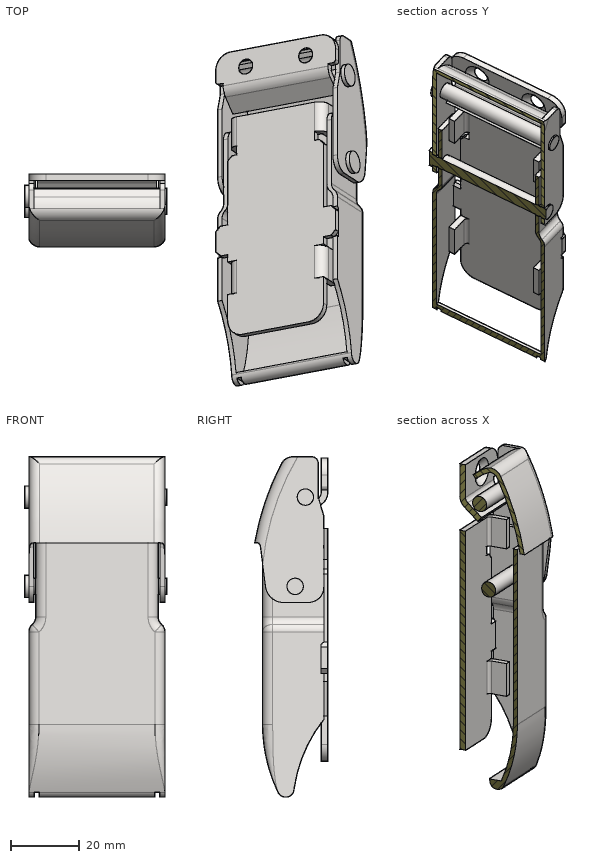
import cadquery as cq
import math


WIDTH = 40.0
HALF_WIDTH = WIDTH / 2
HEIGHT = 100.0
WALL = 1.5
PLATE = 2.0
PLATE_CORNER = 5.0
SIDE_DEPTH = 1.2
REACH = 60.0
MARGIN = 1.0
ARC_GAP = 1 - math.sqrt(0.5)

SHANK_DIAMETER = 4.8
HEAD_DIAMETER = 6.6
HEAD_HEIGHT = 1.2
TAIL_HEIGHT = 0.5
UPPER_RIVET = (6.6, 88.1)
LOWER_RIVET = (9.6, 61.9)

LEVER_FRONT = 19.2
LEVER_TOP = 76.0
LEVER_TOP_CORNER = 3.0
LEVER_NARROW = 18.0
LEVER_ROUND = 3.0
SHOULDER_BOTTOM = 48.5
CURVE_TOP = 21.4
CURVE_RADIUS = 46.0
TIP_RADIUS = 2.5
BACK_CORNER = 22.8
BACK_ARC_MID = (6.9, 13.2)
TIP_FLOOR = 3.0
TIP_SLOT_WIDTH = 1.4
TIP_SLOT_HEIGHT = 1.4
ROUND_END = 2.0
ROUND_END_RADIUS = 0.1
ROUND_SECTIONS = 7

HOOD_ARC_RADIUS = 80.5
HOOD_ARC_CENTRE = (-57.8, 60.8)
HOOD_ROUND = 3.2
HOOD_LIP = 74.7
HOOD_BOTTOM = 57.2
HOOD_BACK_CORNER = 4.4
HOOD_FRONT_CORNER = (18.3, 61.8)
HOOD_FRONT_CORNER_SIZE = 4.6
HOOD_WALL_FRONT = 19.8
LIP_ROUND = 1.2
HOOD_UPPER_BACK = 2.8
HOOD_TOP_CORNER = 2.0
HOOD_STEP_TOP = 88.0
HOOD_STEP_BOTTOM = 82.7
ROOF_ROUND = 4.0
ROOF_BEND = (6.8, 98.6)
ROOF_END = 4.4
ROOF_SLOPE = math.radians(36)

STRIKE_TOP = 99.6
STRIKE_SHOULDER = 90.2
STRIKE_SHOULDER_ROUND = 0.9
STRIKE_NARROW = 17.5
STRIKE_BEND_TOP = 89.4
STRIKE_BEND_RADIUS = 4.0
STRIKE_BEND_ANGLE = math.radians(50)
STRIKE_TAIL = 6.0
STRIKE_HOLE_SPACING = 20.0
STRIKE_HOLE_HEIGHT = 94.1
STRIKE_HOLE_DIAMETER = 4.6
SINK_DIAMETER = 8.4
SINK_ANGLE = 90.0

BASE_BOTTOM = 10.5
BASE_TOP = 78.9
BASE_HALF_WIDTH = 16.0
TAB_BOTTOM = 36.3
TAB_TOP = 45.6
TAB_CHAMFER = 1.5
TAB_SLANT = PLATE - SIDE_DEPTH
FLANGE_HEIGHTS = [(23.8, 34.0), (69.8, BASE_TOP)]
FLANGE_DEPTH = 8.0
FLANGE_BEND = 3.0
RELIEF_HEIGHT = 2.8
RELIEF_CHAMFER = 1.5


def side_plane():
    """Sketch plane whose axes are depth (toward -Y) and height (Z)."""
    return cq.Workplane(cq.Plane(origin=(0, 0, 0), xDir=(0, -1, 0), normal=(-1, 0, 0)))


def across(sketch, half_width):
    """Extrude a side sketch equally to both sides of the middle plane."""
    return sketch.extrude(half_width, both=True)


def box(x_range, depth_range, z_range):
    size = [end - start for start, end in (x_range, depth_range, z_range)]
    corner = (x_range[0], -depth_range[1], z_range[0])
    return cq.Workplane("XY").box(*size, centered=False).translate(corner)


def mirrored(solid):
    return solid.union(solid.mirror("YZ"))


def rivet_shank(centre):
    depth, height = centre
    start = cq.Workplane("YZ", origin=(-HALF_WIDTH, -depth, height))
    return start.circle(SHANK_DIAMETER / 2).extrude(WIDTH + TAIL_HEIGHT)


def make_rivet(centre):
    depth, height = centre
    start = cq.Workplane("YZ", origin=(-HALF_WIDTH - HEAD_HEIGHT, -depth, height))
    head = start.circle(HEAD_DIAMETER / 2).extrude(HEAD_HEIGHT)
    return head.union(rivet_shank(centre))


def lever_curve_depth(height, inset=0.0):
    """Depth of the curved lower front face, or of its parallel a given inset behind it."""
    drop = CURVE_TOP - height
    radius = CURVE_RADIUS - inset
    return LEVER_FRONT - CURVE_RADIUS + math.sqrt(radius**2 - drop**2)


TIP_DEPTH = lever_curve_depth(TIP_RADIUS, TIP_RADIUS)


def lever_upper_outline(inset):
    """Front outline above the curved part, with S-shaped shoulders on both sides."""
    wide = HALF_WIDTH - inset
    narrow = LEVER_NARROW - inset
    step = (wide - narrow) / 2
    rise = math.sqrt(LEVER_ROUND**2 - (LEVER_ROUND - step) ** 2)
    half_angle = math.asin(rise / LEVER_ROUND) / 2
    sag_x = LEVER_ROUND * (1 - math.cos(half_angle))
    sag_z = LEVER_ROUND * math.sin(half_angle)
    middle = SHOULDER_BOTTOM + rise
    top = middle + rise

    return (
        cq.Workplane("XZ")
        .moveTo(-wide, CURVE_TOP)
        .lineTo(wide, CURVE_TOP)
        .lineTo(wide, SHOULDER_BOTTOM)
        .threePointArc((wide - sag_x, SHOULDER_BOTTOM + sag_z), (wide - step, middle))
        .threePointArc((narrow + sag_x, top - sag_z), (narrow, top))
        .lineTo(narrow, LEVER_TOP)
        .lineTo(-narrow, LEVER_TOP)
        .lineTo(-narrow, top)
        .threePointArc((-narrow - sag_x, top - sag_z), (-wide + step, middle))
        .threePointArc((-wide + sag_x, SHOULDER_BOTTOM + sag_z), (-wide, SHOULDER_BOTTOM))
        .close()
    )


def lever_upper():
    """Block with shoulders and rounded front edges, trimmed at the back."""
    block = lever_upper_outline(0).extrude(LEVER_FRONT)
    block = block.faces("<Y").edges("not |X").fillet(LEVER_ROUND)
    block = block.cut(box((-REACH, REACH), (0, SIDE_DEPTH), (0, HEIGHT)))
    return block.faces(">Y").edges(">Z").fillet(LEVER_TOP_CORNER)


def lever_lower():
    """Curved lower part with a round tip, still square at the back."""
    tip_end = CURVE_TOP - (CURVE_TOP - TIP_RADIUS) * CURVE_RADIUS / (CURVE_RADIUS - TIP_RADIUS)
    middle = (CURVE_TOP + tip_end) / 2
    profile = (
        side_plane()
        .moveTo(SIDE_DEPTH, CURVE_TOP)
        .lineTo(LEVER_FRONT, CURVE_TOP)
        .threePointArc((lever_curve_depth(middle), middle), (lever_curve_depth(tip_end), tip_end))
        .threePointArc((TIP_DEPTH, 0), (TIP_DEPTH - TIP_RADIUS, TIP_RADIUS))
        .lineTo(SIDE_DEPTH, TIP_RADIUS)
        .close()
    )
    return across(profile, HALF_WIDTH).cut(fading_round())


def lever_back_cut():
    """Cutter for the bowed back edge between the tip and the straight side walls."""
    profile = (
        side_plane()
        .moveTo(SIDE_DEPTH, BACK_CORNER)
        .threePointArc(BACK_ARC_MID, (TIP_DEPTH - TIP_RADIUS, TIP_RADIUS))
        .lineTo(SIDE_DEPTH, TIP_RADIUS)
        .close()
    )
    return across(profile, HALF_WIDTH)


def fading_round():
    """Cutters that round the curved front edges with a radius that fades out toward the tip."""
    wires = []
    for index in range(ROUND_SECTIONS):
        fraction = index / (ROUND_SECTIONS - 1)
        height = ROUND_END + fraction * (CURVE_TOP - ROUND_END)
        radius = max(LEVER_ROUND * math.sin(fraction * math.pi / 2), ROUND_END_RADIUS)
        front = -lever_curve_depth(height)
        gap = radius * ARC_GAP
        section = (
            cq.Workplane("XY", origin=(0, 0, height))
            .moveTo(-HALF_WIDTH, front + radius)
            .threePointArc((-HALF_WIDTH + gap, front + gap), (-HALF_WIDTH + radius, front))
            .lineTo(-HALF_WIDTH + radius, front - MARGIN)
            .lineTo(-HALF_WIDTH - MARGIN, front - MARGIN)
            .lineTo(-HALF_WIDTH - MARGIN, front + radius)
            .close()
        )
        wires.append(section.wire().val())
    return mirrored(cq.Workplane(cq.Solid.makeLoft(wires)))


def lever_hollow():
    """Inside of the lever, open at the back and the top."""
    upper = lever_upper_outline(WALL).extrude(LEVER_FRONT - WALL)
    middle = (CURVE_TOP + TIP_FLOOR) / 2
    lower = (
        side_plane()
        .moveTo(0, TIP_FLOOR)
        .lineTo(lever_curve_depth(TIP_FLOOR, WALL), TIP_FLOOR)
        .threePointArc((lever_curve_depth(middle, WALL), middle), (LEVER_FRONT - WALL, CURVE_TOP))
        .lineTo(0, CURVE_TOP)
        .close()
    )
    return upper.union(across(lower, HALF_WIDTH - WALL))


def tab_bar(half_width):
    """Bar with a slanted upper front edge, shared by the base plate tabs and their lever notches."""
    profile = (
        side_plane()
        .moveTo(0, TAB_BOTTOM)
        .lineTo(PLATE, TAB_BOTTOM)
        .lineTo(PLATE, TAB_TOP - TAB_SLANT)
        .lineTo(PLATE - TAB_SLANT, TAB_TOP)
        .lineTo(0, TAB_TOP)
        .close()
    )
    return across(profile, half_width)


def make_lever():
    lever = lever_upper().union(lever_lower()).cut(lever_back_cut())
    lever = lever.cut(lever_hollow()).cut(tab_bar(REACH))
    slot_inner = HALF_WIDTH - LEVER_ROUND
    slot = box((slot_inner, slot_inner + TIP_SLOT_WIDTH), (0, REACH), (0, TIP_SLOT_HEIGHT))
    return lever.cut(mirrored(slot)).cut(rivet_shank(LOWER_RIVET))


def hood_arc(height, inset=0.0):
    """Point on the bowed front of the hood, or on its parallel a given inset behind it."""
    depth, centre_height = HOOD_ARC_CENTRE
    radius = HOOD_ARC_RADIUS - inset
    return (depth + math.sqrt(radius**2 - (height - centre_height) ** 2), height)


ROOF_FRONT = hood_arc(HEIGHT - ROOF_ROUND, ROOF_ROUND)[0]


def roof_round(radius):
    """Middle and end of the arc that leads from the flat roof into the bowed front."""
    centre_height = HEIGHT - ROOF_ROUND
    rise = (centre_height - HOOD_ARC_CENTRE[1]) / (HOOD_ARC_RADIUS - ROOF_ROUND)
    end_angle = math.asin(rise)
    middle_angle = (end_angle + math.pi / 2) / 2
    return [
        (ROOF_FRONT + radius * math.cos(angle), centre_height + radius * math.sin(angle))
        for angle in (middle_angle, end_angle)
    ]


def hood_envelope():
    """Bowed block with its two long front edges rounded."""
    profile = (
        side_plane()
        .moveTo(0, HOOD_BOTTOM)
        .lineTo(*hood_arc(HOOD_BOTTOM))
        .threePointArc(hood_arc(HOOD_LIP), hood_arc(HEIGHT))
        .lineTo(0, HEIGHT)
        .close()
    )
    front = across(profile, HALF_WIDTH).faces("<Y").edges("not |X")
    return front.fillet(HOOD_ROUND)


def hood_side_outline():
    """Side wall shape; the rounded top front corner is shared with the front sheet."""
    round_middle, round_end = roof_round(ROOF_ROUND)
    arc_middle = hood_arc((round_end[1] + HOOD_LIP) / 2)
    front_depth, front_height = HOOD_FRONT_CORNER
    top_back = HOOD_UPPER_BACK + HOOD_TOP_CORNER * ARC_GAP
    return (
        side_plane()
        .moveTo(HOOD_UPPER_BACK + HOOD_TOP_CORNER, HEIGHT)
        .lineTo(ROOF_FRONT, HEIGHT)
        .threePointArc(round_middle, round_end)
        .threePointArc(arc_middle, hood_arc(HOOD_LIP))
        .lineTo(HOOD_WALL_FRONT + LIP_ROUND, HOOD_LIP)
        .threePointArc(
            (HOOD_WALL_FRONT + LIP_ROUND * ARC_GAP, HOOD_LIP - LIP_ROUND * ARC_GAP),
            (HOOD_WALL_FRONT, HOOD_LIP - LIP_ROUND),
        )
        .lineTo(front_depth, front_height)
        .tangentArcPoint((front_depth - HOOD_FRONT_CORNER_SIZE, HOOD_BOTTOM), relative=False)
        .lineTo(SIDE_DEPTH + HOOD_BACK_CORNER, HOOD_BOTTOM)
        .threePointArc(
            (SIDE_DEPTH + HOOD_BACK_CORNER * ARC_GAP, HOOD_BOTTOM + HOOD_BACK_CORNER * ARC_GAP),
            (SIDE_DEPTH, HOOD_BOTTOM + HOOD_BACK_CORNER),
        )
        .lineTo(SIDE_DEPTH, HOOD_STEP_BOTTOM)
        .lineTo(HOOD_UPPER_BACK, HOOD_STEP_TOP)
        .lineTo(HOOD_UPPER_BACK, HEIGHT - HOOD_TOP_CORNER)
        .threePointArc(
            (top_back, HEIGHT - HOOD_TOP_CORNER * ARC_GAP),
            (HOOD_UPPER_BACK + HOOD_TOP_CORNER, HEIGHT),
        )
        .close()
    )


def hood_sheet():
    """Front sheet and the roof that falls toward the back, oversize on the outside."""
    bend_depth, bend_height = ROOF_BEND
    end_height = bend_height - (bend_depth - ROOF_END) * math.tan(ROOF_SLOPE)
    under_x = WALL * math.sin(ROOF_SLOPE)
    under_z = WALL * math.cos(ROOF_SLOPE)
    round_middle, round_end = roof_round(ROOF_ROUND - WALL)
    arc_middle = hood_arc((round_end[1] + HOOD_LIP) / 2, WALL)
    profile = (
        side_plane()
        .moveTo(ROOF_END, end_height)
        .lineTo(bend_depth, bend_height)
        .tangentArcPoint((ROOF_FRONT, HEIGHT), relative=False)
        .lineTo(REACH, HEIGHT)
        .lineTo(REACH, HOOD_LIP)
        .lineTo(*hood_arc(HOOD_LIP, WALL))
        .threePointArc(arc_middle, round_end)
        .threePointArc(round_middle, (ROOF_FRONT, HEIGHT - WALL))
        .lineTo(bend_depth + under_x, bend_height - under_z)
        .lineTo(ROOF_END + under_x, end_height - under_z)
        .close()
    )
    return across(profile, HALF_WIDTH)


def make_hood():
    inner = HALF_WIDTH - WALL
    hollow = box((-inner, inner), (0, REACH), (0, HEIGHT + MARGIN)).cut(hood_sheet())
    hood = hood_envelope().intersect(across(hood_side_outline(), HALF_WIDTH)).cut(hollow)
    return hood.cut(rivet_shank(UPPER_RIVET)).cut(rivet_shank(LOWER_RIVET))


def make_strike():
    """Plate with two screw holes whose narrow lower end bends forward under the upper rivet."""
    plate = box((-HALF_WIDTH, HALF_WIDTH), (0, PLATE), (STRIKE_SHOULDER, STRIKE_TOP))
    plate = plate.edges("|Y and >Z").fillet(PLATE_CORNER)
    plate = plate.edges("|Y and <Z").fillet(STRIKE_SHOULDER_ROUND)

    def bend_point(radius, angle):
        depth = STRIKE_BEND_RADIUS - radius * math.cos(angle)
        return (depth, STRIKE_BEND_TOP - radius * math.sin(angle))

    outer = STRIKE_BEND_RADIUS
    inner = outer - PLATE
    tail_depth = STRIKE_TAIL * math.sin(STRIKE_BEND_ANGLE)
    tail_drop = STRIKE_TAIL * math.cos(STRIKE_BEND_ANGLE)
    hook = (
        side_plane()
        .moveTo(0, STRIKE_SHOULDER + STRIKE_SHOULDER_ROUND)
        .lineTo(0, STRIKE_BEND_TOP)
        .threePointArc(bend_point(outer, STRIKE_BEND_ANGLE / 2), bend_point(outer, STRIKE_BEND_ANGLE))
        .line(tail_depth, -tail_drop)
        .line(PLATE * math.cos(STRIKE_BEND_ANGLE), PLATE * math.sin(STRIKE_BEND_ANGLE))
        .lineTo(*bend_point(inner, STRIKE_BEND_ANGLE))
        .threePointArc(bend_point(inner, STRIKE_BEND_ANGLE / 2), bend_point(inner, 0))
        .lineTo(PLATE, STRIKE_SHOULDER + STRIKE_SHOULDER_ROUND)
        .close()
    )
    front = cq.Workplane("XZ", origin=(0, -PLATE, 0))
    points = [(side * STRIKE_HOLE_SPACING / 2, STRIKE_HOLE_HEIGHT) for side in (-1, 1)]
    strike = plate.union(across(hook, STRIKE_NARROW))
    return strike.copyWorkplane(front).pushPoints(points).cskHole(
        STRIKE_HOLE_DIAMETER, SINK_DIAMETER, SINK_ANGLE, PLATE
    )


def base_flange(bottom, top):
    """Side flange that bends forward from the right edge of the base plate."""
    edge = BASE_HALF_WIDTH
    flange = box((edge - FLANGE_BEND - PLATE, edge), (0, FLANGE_DEPTH), (bottom, top))
    flange = flange.edges("|Z and >X and >Y").fillet(FLANGE_BEND)
    inside = box((0, edge - PLATE), (PLATE, REACH), (bottom, top))
    inside = inside.edges("|Z and >X and >Y").fillet(FLANGE_BEND - PLATE)
    return flange.cut(inside)


def make_base():
    edge = BASE_HALF_WIDTH
    plate = box((-edge, edge), (0, PLATE), (BASE_BOTTOM, BASE_TOP))
    plate = plate.edges("|Y and <Z").fillet(PLATE_CORNER)
    tabs = box((-HALF_WIDTH, HALF_WIDTH), (0, PLATE), (TAB_BOTTOM, TAB_TOP))
    tabs = tabs.edges("|Y").chamfer(TAB_CHAMFER).intersect(tab_bar(HALF_WIDTH))

    flange_bottom = FLANGE_HEIGHTS[-1][0]
    relief_edge = edge - FLANGE_BEND
    relief_bottom = flange_bottom - RELIEF_HEIGHT
    relief = (
        cq.Workplane("XZ")
        .moveTo(relief_edge, flange_bottom)
        .lineTo(relief_edge, relief_bottom)
        .lineTo(edge - RELIEF_CHAMFER, relief_bottom)
        .lineTo(edge, relief_bottom - RELIEF_CHAMFER)
        .lineTo(edge, flange_bottom)
        .close()
        .extrude(PLATE)
    )
    plate = plate.union(tabs).cut(mirrored(relief))
    for bottom, top in FLANGE_HEIGHTS:
        bend_zone = box((relief_edge, edge), (0, PLATE), (bottom, top))
        plate = plate.cut(mirrored(bend_zone)).union(mirrored(base_flange(bottom, top)))
    return plate


strike = make_strike()
base = make_base()
lever = make_lever()
hood = make_hood()
rivets = [make_rivet(centre) for centre in (UPPER_RIVET, LOWER_RIVET)]

result = cq.Compound.makeCompound(
    [strike.val(), base.val(), lever.val(), hood.val(), *[rivet.val() for rivet in rivets]]
)